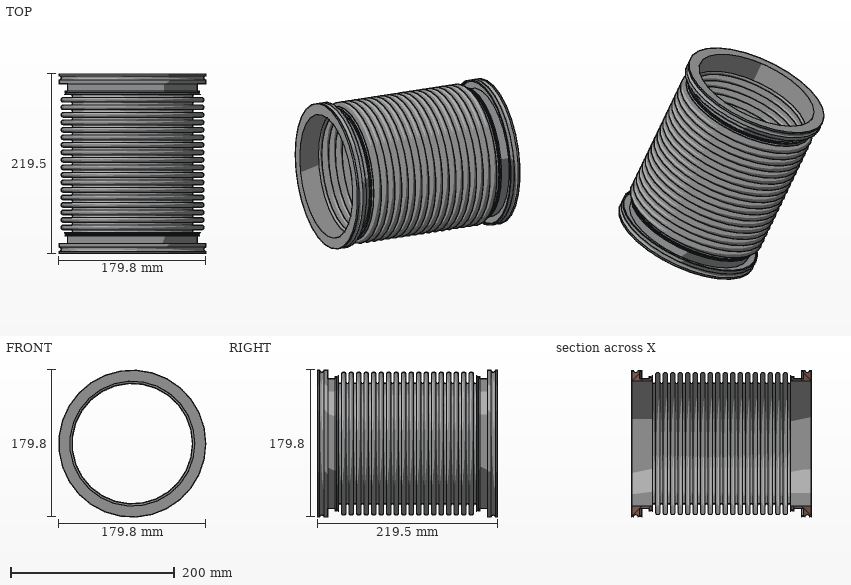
import cadquery as cq

OVERALL_LENGTH = 219.5
FLANGE_DIAMETER = 179.8

BORE_RADIUS = 76.4
NECK_RADIUS = 79.5
COLLAR_RADIUS = 82.0
RIM_WIDTH = 2.5
GROOVE_WIDTH = 5.3
GROOVE_DEPTH = 2.5
FLANGE_WIDTH = 12.3
BACK_RIM_WIDTH = 1.8
BACK_RECESS_DEPTH = 2.5
COLLAR_START = 21.3
COLLAR_WIDTH = 1.5
WELD_GROOVE_DEPTH = 0.9

CONVOLUTIONS = 18
ROOT_SPAN = 165.0
WALL = 0.3
CREST_RADIUS = 87.5
ROOT_RADIUS = 73.8
ROOT_BEND = 1.65

flange_radius = FLANGE_DIAMETER / 2
pitch = ROOT_SPAN / CONVOLUTIONS
last_root_y = ROOT_SPAN / 2
root_inner_bend = ROOT_BEND + WALL
crest_inner_bend = pitch / 2 - root_inner_bend
crest_outer_bend = crest_inner_bend + WALL
half_bellows = last_root_y + root_inner_bend
half_length = OVERALL_LENGTH / 2
flange_length = half_length - half_bellows

weld_groove_start = COLLAR_START + COLLAR_WIDTH
weld_groove_radius = COLLAR_RADIUS - WELD_GROOVE_DEPTH
lip_bevel_radius = weld_groove_radius + flange_length - (weld_groove_start + WELD_GROOVE_DEPTH)
lip_radius = lip_bevel_radius + WALL


def revolve_about_y(profile):
    """Turn a closed (radius, Y) profile once around the Y axis."""
    return profile.close().revolve(360, (0, 0, 0), (0, 1, 0))


def make_flange(end):
    """Grooved end flange with neck and weld collar; end is +1 (+Y) or -1 (-Y)."""
    def place(radius, depth):
        return radius, end * (half_length - depth)

    groove_middle = place(flange_radius - GROOVE_DEPTH, RIM_WIDTH + GROOVE_WIDTH / 2)
    groove_end = place(flange_radius, RIM_WIDTH + GROOVE_WIDTH)
    back_rim_radius = flange_radius - BACK_RIM_WIDTH
    recess_floor = FLANGE_WIDTH - BACK_RECESS_DEPTH
    inner_outline = [
        (flange_radius, FLANGE_WIDTH),
        (back_rim_radius, FLANGE_WIDTH),
        (back_rim_radius, recess_floor),
        (NECK_RADIUS, recess_floor),
        (NECK_RADIUS, COLLAR_START),
        (COLLAR_RADIUS, COLLAR_START),
        (COLLAR_RADIUS, weld_groove_start),
        (weld_groove_radius, weld_groove_start + WELD_GROOVE_DEPTH),
        (lip_bevel_radius, flange_length),
        (BORE_RADIUS, flange_length),
    ]
    profile = (
        cq.Workplane("XY")
        .moveTo(*place(BORE_RADIUS, 0))
        .lineTo(*place(flange_radius, 0))
        .lineTo(*place(flange_radius, RIM_WIDTH))
        .threePointArc(groove_middle, groove_end)
    )
    for radius, depth in inner_outline:
        profile = profile.lineTo(*place(radius, depth))
    return revolve_about_y(profile)


def fold(profile, root_y, root_radius, root_bend, crest_radius, crest_bend, direction):
    """Trace one root bend and the crest bend after it, moving along Y in the given direction."""
    crest_y = root_y + direction * pitch / 2
    root_line = root_radius + root_bend
    crest_line = crest_radius - crest_bend
    return (
        profile.lineTo(root_line, root_y - direction * root_bend)
        .threePointArc((root_radius, root_y), (root_line, root_y + direction * root_bend))
        .lineTo(crest_line, crest_y - direction * crest_bend)
        .threePointArc((crest_radius, crest_y), (crest_line, crest_y + direction * crest_bend))
    )


def last_root(profile, root_y, root_radius, root_bend, lip, direction):
    """Trace the root bend that ends a row of folds, then rise to the lip's radius."""
    root_line = root_radius + root_bend
    return (
        profile.lineTo(root_line, root_y - direction * root_bend)
        .threePointArc((root_radius, root_y), (root_line, root_y + direction * root_bend))
        .lineTo(lip, root_y + direction * root_bend)
    )


def make_bellows():
    """Thin folded tube whose end walls lie flat against the flanges."""
    profile = cq.Workplane("XY").moveTo(lip_radius, -last_root_y - ROOT_BEND)
    for index in range(CONVOLUTIONS):
        profile = fold(profile, -last_root_y + index * pitch,
                       ROOT_RADIUS, ROOT_BEND, CREST_RADIUS, crest_outer_bend, 1)
    profile = last_root(profile, last_root_y, ROOT_RADIUS, ROOT_BEND, lip_radius, 1)
    profile = profile.lineTo(lip_bevel_radius, half_bellows)
    for index in range(CONVOLUTIONS):
        profile = fold(profile, last_root_y - index * pitch,
                       ROOT_RADIUS - WALL, root_inner_bend, CREST_RADIUS - WALL, crest_inner_bend, -1)
    profile = last_root(profile, -last_root_y, ROOT_RADIUS - WALL, root_inner_bend, lip_bevel_radius, -1)
    return revolve_about_y(profile)


flanges = [make_flange(end) for end in (-1, 1)]
bellows = make_bellows()

result = cq.Compound.makeCompound([*[flange.val() for flange in flanges], bellows.val()])